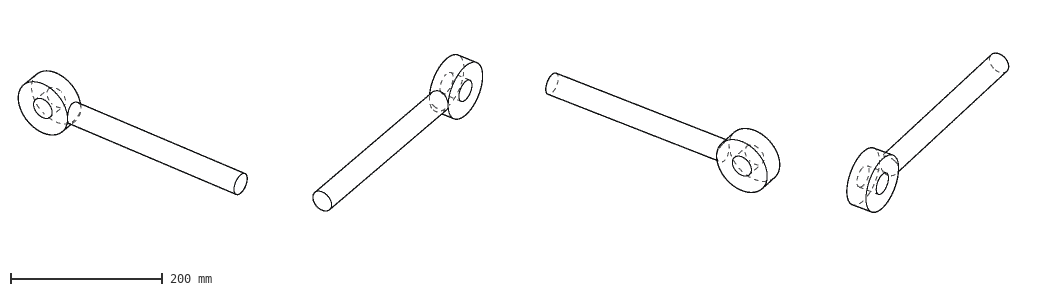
import cadquery as cq

overall_length = 350.0
eye_diameter = 80.0
thickness = 30.0
rod_diameter = thickness
bore_diameter = 30.0

eye_radius = eye_diameter / 2
rod_end_x = overall_length - eye_radius


def disc_along_y(diameter):
    """Disc of the eye's thickness, axis along Y, centred on the origin."""
    return cq.Workplane("XZ", origin=(0, thickness / 2, 0)).circle(diameter / 2).extrude(thickness)


eye = disc_along_y(eye_diameter)

rod = cq.Workplane("YZ").circle(rod_diameter / 2).extrude(rod_end_x)

bore = disc_along_y(bore_diameter)

result = eye.union(rod).cut(bore)